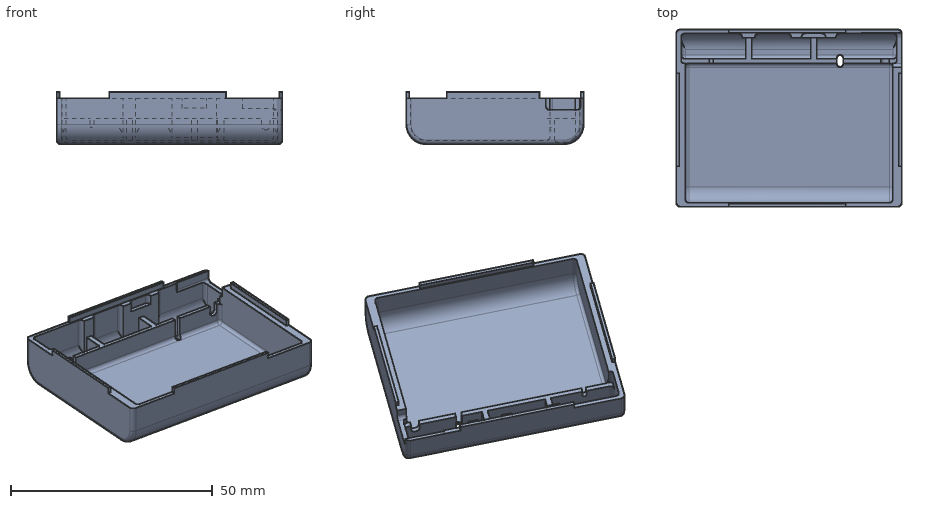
import cadquery as cq
length = 56.0
width = 44.0
height = 13.0
lip_height = 1.5
rim_z = height - lip_height
wall = 1.0
floor_z = wall
belly_radius = 5.0
end_radius = 1.1
inner_belly_radius = belly_radius - wall

left = -length / 2
right = length / 2
back = width / 2
front = -width / 2
back_inside = back - wall
front_inside = front + wall

lip_thickness = 0.8
lip_offset = -0.45
long_lip = 29.0
short_lip = 23.1

main_end_wall = 2.3
main_round = 0.85
rear_end_wall = 1.3
rear_floor_z = 0.5
rear_round = 1.0
rear_corner = 0.9
upper_corner = 0.6
divider_front = back - 8.4
divider_thickness = 1.05
divider_back = divider_front + divider_thickness
divider_top = 6.5

rib_thickness = 1.45
pilaster_depth = 1.1
narrow_rib_x = -10.0
narrow_pilaster = 3.0
wide_rib_x = 6.1
wide_pilaster = 11.0

recess_width = 6.05
recess_floor = 9.1
recess_round = 1.0

notch_axis_z = 4.7
small_notch_x = -19.3
small_notch_width = 1.0
large_notch_x = 23.8
large_notch_width = 2.1
slot_x = 12.65
slot_width = 1.5
slot_length = 2.9
slot_y = back - 7.85

opening_length = 9.95
opening_floor = 8.5
opening_round = 1.0
opening_back = back - lip_thickness
opening_front = divider_front - opening_round


def block(x0, x1, y0, y1, z0, z1):
    """Box given by its limits along each axis."""
    return cq.Workplane("XY").box(x1 - x0, y1 - y0, z1 - z0, centered=False).translate((x0, y0, z0))


def make_shell():
    """Solid body with a rolled belly and rounded end outlines."""
    body = block(left, right, front, back, 0, rim_z)
    body = body.edges("|X and <Z").fillet(belly_radius)
    ends = body.faces("<X or >X").edges("not(>Z)")
    return ends.fillet(end_radius)


def make_lips():
    """One lip along each side, flush with the outer faces."""
    x0 = lip_offset - long_lip / 2
    x1 = lip_offset + long_lip / 2
    y0 = lip_offset - short_lip / 2
    y1 = lip_offset + short_lip / 2
    lips = block(x0, x1, back - lip_thickness, back, rim_z, height)
    lips = lips.union(block(x0, x1, front, front + lip_thickness, rim_z, height))
    lips = lips.union(block(left, left + lip_thickness, y0, y1, rim_z, height))
    return lips.union(block(right - lip_thickness, right, y0, y1, rim_z, height))


def make_main_pocket():
    """Large pocket in front of the divider."""
    pocket = block(left + main_end_wall, right - main_end_wall, front_inside, divider_front, floor_z, rim_z)
    pocket = pocket.edges("|X and <Z and <Y").fillet(inner_belly_radius)
    pocket = pocket.edges("|X and <Z and >Y").fillet(rear_round)
    return pocket.faces("<X or >X").edges("not(>Z)").fillet(main_round)


def make_rear_pocket():
    """Narrow, deeper pocket behind the divider: a round-cornered tray limited by a rolled back."""
    x0 = left + rear_end_wall
    x1 = right - rear_end_wall
    tray = block(x0, x1, divider_back, back_inside, rear_floor_z, rim_z)
    tray = tray.edges("|Z and >Y").fillet(rear_corner)
    tray = tray.edges("|Z and <Y").fillet(rear_round)
    tray = tray.edges("<Z").fillet(rear_round)
    rolled = block(x0, x1, divider_back, back_inside, rear_floor_z, rim_z)
    rolled = rolled.edges("|X and <Z and >Y").fillet(inner_belly_radius)
    return tray.intersect(rolled)


def make_upper_opening():
    """Space above the divider, joining both pockets."""
    rear = block(left + rear_end_wall, right - rear_end_wall, divider_front, back_inside, divider_top, rim_z)
    rear = rear.edges("|Z and >Y").fillet(rear_corner)
    rear = rear.edges("|Z and <Y").fillet(upper_corner)
    main_x0 = left + main_end_wall
    main_x1 = right - main_end_wall
    return rear.union(block(main_x0, main_x1, divider_front - wall, divider_back, divider_top, rim_z))


def make_pilaster(x, pilaster_width):
    """Pilaster flaring into the back wall, with a rib running to the divider."""
    face_y = back_inside - pilaster_depth
    half = pilaster_width / 2
    core_y = back - wall / 2
    pilaster = (
        cq.Workplane("XY")
        .moveTo(x - half, face_y)
        .lineTo(x + half, face_y)
        .radiusArc((x + half + pilaster_depth, back_inside), pilaster_depth)
        .lineTo(x + half + pilaster_depth, core_y)
        .lineTo(x - half - pilaster_depth, core_y)
        .lineTo(x - half - pilaster_depth, back_inside)
        .radiusArc((x - half, face_y), pilaster_depth)
        .close()
        .extrude(rim_z)
    )
    rib = block(x - rib_thickness / 2, x + rib_thickness / 2, divider_front, face_y, 0, divider_top)
    return pilaster.union(rib)


def make_recess():
    """Pocket in the face of the wide pilaster, rounded at its back corners."""
    half = recess_width / 2
    face_y = back_inside - pilaster_depth
    recess = block(wide_rib_x - half, wide_rib_x + half, face_y, back_inside, recess_floor, rim_z)
    return recess.edges("|Z and >Y").fillet(recess_round)


def make_notch(x, notch_width):
    """Round-bottomed notch across the divider."""
    half = notch_width / 2
    return (
        cq.Workplane("XZ", origin=(x, divider_back, 0))
        .moveTo(-half, divider_top)
        .lineTo(-half, notch_axis_z)
        .threePointArc((0, notch_axis_z - half), (half, notch_axis_z))
        .lineTo(half, divider_top)
        .close()
        .extrude(divider_thickness)
    )


def make_slot():
    """Oval hole through the floor, also parting the divider."""
    return (
        cq.Workplane("XY")
        .center(slot_x, slot_y)
        .slot2D(slot_length, slot_width, 90)
        .extrude(rim_z)
    )


def make_opening():
    """Round-cornered opening through the right wall, thinning the back wall beside it."""
    opening = block(right - opening_length, right, opening_front, opening_back, opening_floor, rim_z)
    return opening.edges("|X and <Z").fillet(opening_round)


shell = make_shell()
result = shell.cut(make_main_pocket()).cut(make_rear_pocket()).cut(make_upper_opening())
ribs = make_pilaster(narrow_rib_x, narrow_pilaster).union(make_pilaster(wide_rib_x, wide_pilaster))
result = result.union(ribs.intersect(shell)).union(make_lips())

for cutter in (
    make_recess(),
    make_notch(small_notch_x, small_notch_width),
    make_notch(large_notch_x, large_notch_width),
    make_slot(),
    make_opening(),
):
    result = result.cut(cutter)